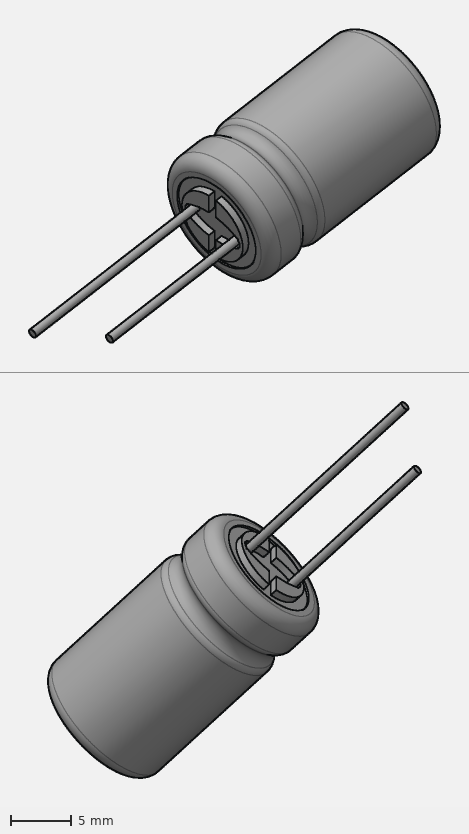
import cadquery as cq
import math


can_radius = 6.257
can_length = 21.0
rim_fillet = 1.17

groove_from_face = 5.0
groove_depth = 0.7
groove_half_width = 1.45
groove_arc_half_width = 0.85

recess_radius = 4.5
recess_depth = 0.2

pad_radius = 3.5
pad_stand_out = 0.5
pad_gap = 0.8
lens_half_length = 2.9
lens_half_height = 1.4
lens_end_half_height = 0.55
lead_notch_radius = 0.6

lead_radius = 0.4
lead_pitch = 5.02
long_lead_reach = 19.5
short_lead_reach = 15.5

face_y = (long_lead_reach - can_length) / 2
floor_y = face_y + recess_depth
back_y = face_y + can_length


def cylinder_toward_leads(radius, start_y, end_y, x=0.0):
    """Cylinder parallel to Y running from start_y down to end_y."""
    return cq.Workplane("XZ", origin=(x, start_y, 0)).circle(radius).extrude(start_y - end_y)


def make_can():
    """Revolved can with rounded rims, a smooth crimp groove and a recessed lead end."""
    groove_y = face_y + groove_from_face
    groove_radius = can_radius - groove_depth

    slope = 2 * math.atan(groove_depth / groove_half_width)
    shoulder_radius = (groove_half_width - groove_arc_half_width) / math.sin(slope)
    blend_radius = can_radius - shoulder_radius * (1 - math.cos(slope))
    shoulder_mid_radius = can_radius - shoulder_radius * (1 - math.cos(slope / 2))
    shoulder_mid_offset = groove_half_width - shoulder_radius * math.sin(slope / 2)

    rim_center = can_radius - rim_fillet
    rim_mid_radius = rim_center + rim_fillet * math.sqrt(0.5)
    rim_mid_inset = rim_fillet * (1 - math.sqrt(0.5))

    profile = (
        cq.Workplane("XY")
        .moveTo(0, floor_y)
        .lineTo(recess_radius, floor_y)
        .lineTo(recess_radius, face_y)
        .lineTo(rim_center, face_y)
        .threePointArc((rim_mid_radius, face_y + rim_mid_inset), (can_radius, face_y + rim_fillet))
        .lineTo(can_radius, groove_y - groove_half_width)
        .threePointArc(
            (shoulder_mid_radius, groove_y - shoulder_mid_offset),
            (blend_radius, groove_y - groove_arc_half_width),
        )
        .threePointArc((groove_radius, groove_y), (blend_radius, groove_y + groove_arc_half_width))
        .threePointArc(
            (shoulder_mid_radius, groove_y + shoulder_mid_offset),
            (can_radius, groove_y + groove_half_width),
        )
        .lineTo(can_radius, back_y - rim_fillet)
        .threePointArc((rim_mid_radius, back_y - rim_mid_inset), (rim_center, back_y))
        .lineTo(0, back_y)
        .close()
    )
    return profile.revolve(360, (0, 0, 0), (0, 1, 0))


def make_lead(side, reach):
    """Round lead from the recess floor; reach is measured from the lead-end face of the can."""
    return cylinder_toward_leads(lead_radius, floor_y, face_y - reach, side * lead_pitch / 2)


def make_pad(side):
    """C-shaped half disc with half of a lens opening and a clearance notch at its lead."""
    pad_height = recess_depth + pad_stand_out
    pad_end_y = floor_y - pad_height
    disc = cylinder_toward_leads(pad_radius, floor_y, pad_end_y)

    half_width = pad_radius - pad_gap / 2
    half_center = side * (pad_gap / 2 + half_width / 2)
    floor_plane = cq.Workplane("XZ", origin=(0, floor_y, 0))
    half_block = floor_plane.center(half_center, 0).rect(half_width, 2 * pad_radius).extrude(pad_height)

    lens = (
        floor_plane
        .moveTo(-lens_half_length, lens_end_half_height)
        .threePointArc((0, lens_half_height), (lens_half_length, lens_end_half_height))
        .lineTo(lens_half_length, -lens_end_half_height)
        .threePointArc((0, -lens_half_height), (-lens_half_length, -lens_end_half_height))
        .close()
        .extrude(pad_height)
    )

    lead_notch = cylinder_toward_leads(lead_notch_radius, floor_y, pad_end_y, side * lead_pitch / 2)
    pad = disc.intersect(half_block).cut(lens).cut(lead_notch)
    return cq.Workplane(pad.solids().val())


can = make_can()
pads = [make_pad(side) for side in (-1, 1)]
leads = [make_lead(side, reach) for side, reach in ((-1, long_lead_reach), (1, short_lead_reach))]

result = cq.Compound.makeCompound([body.val() for body in (can, *pads, *leads)])